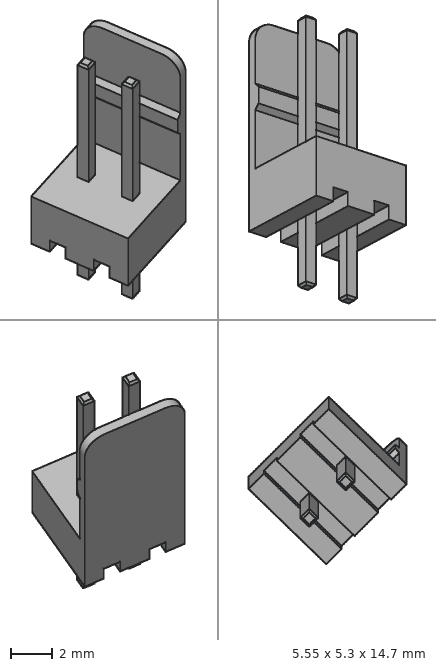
import cadquery as cq
import math

width = 5.55
depth = 5.3
total_height = 14.7
base_bottom = 3.53
base_top = 6.72

plate_thickness = 0.5
plate_corner_radius = 1.1
ridge_projection = 0.26
ridge_bottom = 9.85
ridge_top = 11.27

pin_pitch = 2.53
pin_size = 0.63
pin_top = 14.42
tip_height = 0.13
tip_inset = 0.1
channel_width = 0.9
channel_height = 0.75

back_y = depth / 2
plate_front_y = back_y - plate_thickness
ridge_front_y = plate_front_y - ridge_projection
pin_positions = [-pin_pitch / 2, pin_pitch / 2]


def block(size_x, size_y, bottom, top):
    """Box centred on X and Y between two heights."""
    box = cq.Workplane("XY").box(size_x, size_y, top - bottom, centered=(True, True, False))
    return box.translate((0, 0, bottom))


def make_plate():
    """Upright plate with rounded upper corners."""
    plate = block(width, plate_thickness, base_bottom, total_height)
    plate = plate.edges("|Y and >Z").fillet(plate_corner_radius)
    return plate.translate((0, back_y - plate_thickness / 2, 0))


def make_ridge():
    """Latching ridge with 45 degree flanks across the plate."""
    outline = [
        (plate_front_y, ridge_bottom),
        (ridge_front_y, ridge_bottom + ridge_projection),
        (ridge_front_y, ridge_top - ridge_projection),
        (plate_front_y, ridge_top),
    ]
    return cq.Workplane("YZ").polyline(outline).close().extrude(width / 2, both=True)


def make_pin(x):
    """Square pin with tapered tips at both ends."""
    taper_angle = math.degrees(math.atan(tip_inset / tip_height))
    pin = block(pin_size, pin_size, tip_height, pin_top - tip_height)
    for end_face in ["<Z", ">Z"]:
        pin = pin.faces(end_face).workplane(centerOption="CenterOfMass")
        pin = pin.rect(pin_size, pin_size).extrude(tip_height, taper=taper_angle)
    return pin.translate((x, 0, 0))


def make_channel(x):
    """Channel running the full depth of the base underside."""
    channel = block(channel_width, depth, base_bottom, base_bottom + channel_height)
    return channel.translate((x, 0, 0))


housing = block(width, depth, base_bottom, base_top).union(make_plate()).union(make_ridge())

for pin_x in pin_positions:
    housing = housing.cut(make_channel(pin_x))

result = housing
for pin_x in pin_positions:
    result = result.union(make_pin(pin_x))